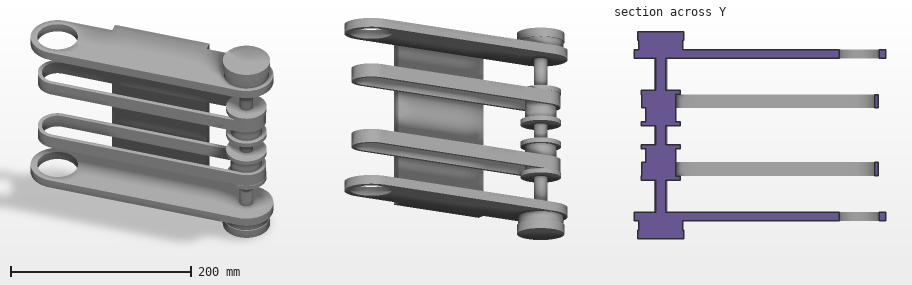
import cadquery as cq

overall_length = 280.0
overall_height = 230.0
arm_width = 60.0
arm_thickness = 10.0
frame_height = 190.0
hole_diameter = 45.0

back_length = 110.0
back_thickness = 10.0
back_offset_x = -1.0

shaft_diameter = 15.0
neck_diameter = 50.0
cap_diameter = 52.5
neck_height = (overall_height - frame_height) / 4
cap_height = neck_height

spool_diameter = 35.0
flange_diameter = 45.0
flange_thickness = 5.0
spool_inner_z = 10.0
spool_outer_z = 50.0
belt_thickness = 4.5
belt_width = 15.0

axis_x = (overall_length - arm_width) / 2
frame_top = frame_height / 2
belt_outer_z = spool_outer_z - flange_thickness


def disc(diameter, x, bottom, height):
    """Vertical cylinder centred at the given X."""
    return cq.Workplane("XY", origin=(x, 0, bottom)).circle(diameter / 2).extrude(height)


def stadium(width, bottom, height):
    """Round-ended bar whose end arcs are centred on the two vertical axes."""
    return cq.Workplane("XY", origin=(0, 0, bottom)).slot2D(2 * axis_x + width, width).extrude(height)


def arm():
    """Upper arm with the open bore at its left end."""
    bottom = frame_top - arm_thickness
    bar = stadium(arm_width, bottom, arm_thickness)
    return bar.cut(disc(hole_diameter, -axis_x, bottom, arm_thickness))


def end_cap():
    """Stepped cap standing on the upper arm."""
    neck = disc(neck_diameter, axis_x, frame_top, neck_height)
    return neck.union(disc(cap_diameter, axis_x, frame_top + neck_height, cap_height))


def spool():
    """Upper spool with a flange at each end."""
    body = disc(spool_diameter, axis_x, spool_inner_z, spool_outer_z - spool_inner_z)
    for bottom in (spool_inner_z, belt_outer_z):
        body = body.union(disc(flange_diameter, axis_x, bottom, flange_thickness))
    return body


def belt():
    """Upper belt loop, resting against the outer flange of its spool."""
    bottom = belt_outer_z - belt_width
    outside = stadium(spool_diameter + 2 * belt_thickness, bottom, belt_width)
    return outside.cut(stadium(spool_diameter, bottom, belt_width))


def back_plate():
    """Upright plate against the rear edges of both arms."""
    center_y = (arm_width + back_thickness) / 2
    return cq.Workplane("XY").box(back_length, back_thickness, frame_height).translate(
        (back_offset_x, center_y, 0)
    )


result = disc(shaft_diameter, axis_x, -frame_top, frame_height).union(back_plate())
for feature in (arm(), end_cap(), spool(), belt()):
    result = result.union(feature).union(feature.mirror("XY"))